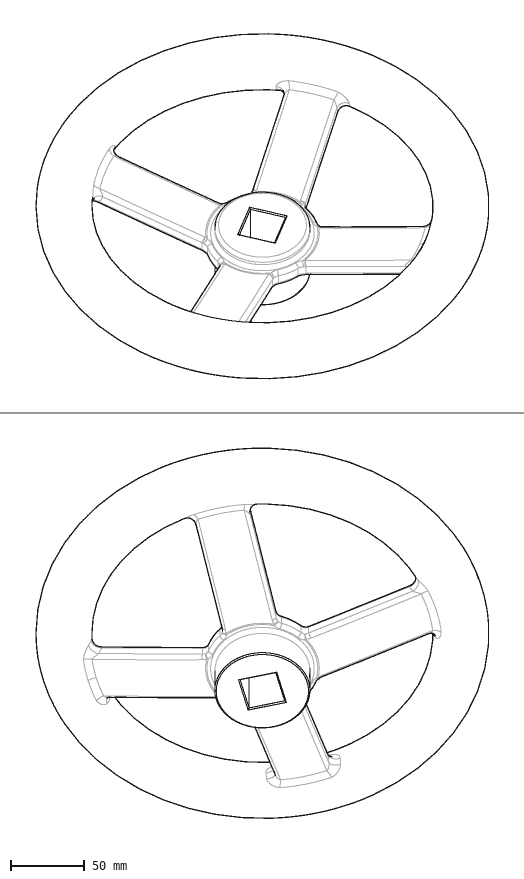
import cadquery as cq
import math

outer_radius = 154.0
tube_radius = 19.0
rim_radius = outer_radius - tube_radius

overall_height = 83.5
rim_height = overall_height - tube_radius

hub_radius = 32.3
hub_height = 45.5
hub_top_round = 2.5
hub_base_chamfer = 1.0
square_bore = 25.0
bore_chamfer = 1.0

collar_radius = 38.8
collar_bottom = 25.2
collar_top = 38.0

cone_start_radius = 38.2
cone_end_radius = rim_radius
cone_slope = 1 / 3

spoke_count = 4
spoke_width = 38.0

edge_round = 2.92
side_round = 6.0
hub_round = 2.92
bend_round = 3.0
rim_round = 6.0
joint_radius = rim_radius - tube_radius + rim_round / 2
joint_band = rim_round

tolerance = 0.03


def is_bend(edge):
    """True for the circles where the level plate turns into the cone."""
    return edge.geomType() == "CIRCLE" and abs(edge.radius() - cone_start_radius) < tolerance


def make_dish():
    """Revolved plate with a level centre and a conical outer part, softened at the bend."""
    rise = cone_slope * (cone_end_radius - cone_start_radius)
    dish = (
        cq.Workplane("XZ")
        .moveTo(0, collar_bottom)
        .lineTo(cone_start_radius, collar_bottom)
        .lineTo(cone_end_radius, collar_bottom + rise)
        .lineTo(cone_end_radius, collar_top + rise)
        .lineTo(cone_start_radius, collar_top)
        .lineTo(0, collar_top)
        .close()
        .revolve(360, (0, 0), (0, 1))
    )
    return dish.edges().filter(is_bend).fillet(bend_round)


def make_spoke_outline():
    """Upright prism of the collar and crossed spokes, with rounded inner corners."""
    outline = cq.Workplane("XY").circle(collar_radius).extrude(overall_height)
    for index in range(spoke_count):
        bar = cq.Workplane("XY").rect(outer_radius, spoke_width).extrude(overall_height)
        bar = bar.translate((outer_radius / 2, 0, 0))
        outline = outline.union(bar.rotate((0, 0, 0), (0, 0, 1), index * 360 / spoke_count))
    inner_corners = cq.selectors.BoxSelector(
        (-collar_radius, -collar_radius, 0),
        (collar_radius, collar_radius, overall_height),
    )
    return outline.edges("|Z").edges(inner_corners).fillet(side_round)


def is_side_edge(edge):
    """True for the curved upper and lower edges that run along the spokes and between them."""
    center = edge.Center()
    distance = math.hypot(center.x, center.y)
    return edge.geomType() != "LINE" and hub_radius < distance < rim_radius - tube_radius


def make_spider():
    """Collar and spokes, with their side edges rounded."""
    spider = make_dish().intersect(make_spoke_outline())
    return spider.edges().filter(is_side_edge).fillet(edge_round)


def make_hub():
    """Round boss with a rounded top edge and a chamfered base edge."""
    hub = cq.Workplane("XY").circle(hub_radius).extrude(hub_height)
    hub = hub.faces(">Z").edges().fillet(hub_top_round)
    return hub.faces("<Z").edges().chamfer(hub_base_chamfer)


def make_bore():
    """Square through hole, widened by a small chamfer at both mouths."""
    bore = cq.Workplane("XY").rect(square_bore, square_bore).extrude(hub_height)
    mouth_width = square_bore + 2 * bore_chamfer
    for mouth_height, depth in ((0, bore_chamfer), (hub_height, -bore_chamfer)):
        mouth = (
            cq.Workplane("XY", origin=(0, 0, mouth_height))
            .rect(mouth_width, mouth_width)
            .workplane(offset=depth)
            .rect(square_bore, square_bore)
            .loft(ruled=True)
        )
        bore = bore.union(mouth)
    return bore


def make_rim():
    """Ring of round section at the top of the wheel."""
    section = cq.Workplane("XZ").center(rim_radius, rim_height).circle(tube_radius)
    return section.revolve(360, (-rim_radius, 0), (-rim_radius, 1))


def is_hub_joint(edge):
    """True for the circles where the hub meets the flat faces of the collar."""
    on_collar = min(abs(edge.Center().z - z) for z in (collar_bottom, collar_top)) < tolerance
    return edge.geomType() == "CIRCLE" and on_collar and abs(edge.radius() - hub_radius) < tolerance


def is_rim_joint(edge):
    """True for the edges where the spokes run into the rim."""
    center = edge.Center()
    distance = math.hypot(center.x, center.y)
    return abs(distance - joint_radius) < joint_band


body = make_spider().union(make_hub())
body = body.edges().filter(is_hub_joint).fillet(hub_round)
body = body.union(make_rim())
body = body.edges().filter(is_rim_joint).fillet(rim_round)
result = body.cut(make_bore())